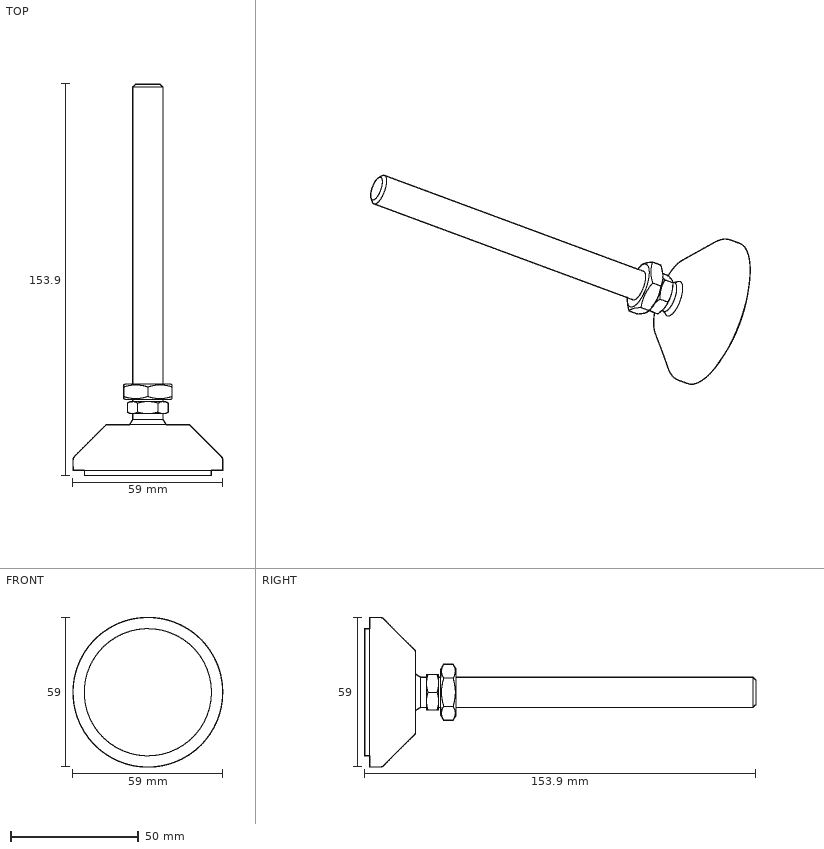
import cadquery as cq
import math

TOTAL_LENGTH = 153.9

foot_radius = 59.0 / 2
pad_radius = 50.0 / 2
pad_height = 2.0
rim_top_y = 7.0
foot_height = 20.0
rim_fillet = 2.0
top_fillet = 0.8
cone_top_radius = foot_radius - (foot_height - rim_top_y)

rod_radius = 6.0
rod_end_chamfer = 1.2
collar_radius = 7.2
collar_height = 2.0
wrench_hex_flats = 14.0
wrench_hex_start = 24.3
wrench_hex_height = 4.8
wrench_hex_face_radius = wrench_hex_flats / 2

nut_flats = 19.1
nut_start = 29.9
nut_height = 6.2
nut_face_radius = 9.0

HEX_CHAMFER_ANGLE = 30.0


def revolve_about_y(profile):
    """Revolve a closed (radius, y) outline a full turn about the Y axis."""
    return profile.close().revolve(360, (0, 0, 0), (0, 1, 0))


def cylinder_along_y(radius, start_y, height):
    return cq.Workplane("XZ", origin=(0, start_y, 0)).circle(radius).extrude(-height)


def chamfered_hexagon(across_flats, face_radius, start_y, height, turn):
    """Hexagonal prism along Y, chamfered to a round face at both ends."""
    corner_radius = across_flats / 2 / math.cos(math.radians(30))
    drop = (corner_radius - face_radius) * math.tan(math.radians(HEX_CHAMFER_ANGLE))
    end_y = start_y + height
    prism = (
        cq.Workplane("XZ", origin=(0, start_y, 0))
        .polygon(6, 2 * corner_radius)
        .extrude(-height)
        .rotate((0, 0, 0), (0, 1, 0), turn)
    )
    envelope = revolve_about_y(
        cq.Workplane("XY")
        .moveTo(0, start_y)
        .lineTo(face_radius, start_y)
        .lineTo(corner_radius, start_y + drop)
        .lineTo(corner_radius, end_y - drop)
        .lineTo(face_radius, end_y)
        .lineTo(0, end_y)
    )
    return prism.intersect(envelope)


def make_foot():
    """Conical foot with a rounded rim and a raised round pad underneath."""
    cone = revolve_about_y(
        cq.Workplane("XY")
        .moveTo(0, pad_height)
        .lineTo(foot_radius, pad_height)
        .lineTo(foot_radius, rim_top_y)
        .lineTo(cone_top_radius, foot_height)
        .lineTo(0, foot_height)
    )
    rim_edge = cq.selectors.NearestToPointSelector((0, rim_top_y, 0))
    cone = cone.edges("%CIRCLE").edges(rim_edge).fillet(rim_fillet)
    cone = cone.faces(">Y").edges().fillet(top_fillet)
    return cone.union(cylinder_along_y(pad_radius, 0, pad_height))


def make_spindle():
    """Round rod standing on the foot, with a flared collar and a wrench hexagon."""
    rod = revolve_about_y(
        cq.Workplane("XY")
        .moveTo(0, foot_height)
        .lineTo(collar_radius, foot_height)
        .lineTo(rod_radius, foot_height + collar_height)
        .lineTo(rod_radius, TOTAL_LENGTH - rod_end_chamfer)
        .lineTo(rod_radius - rod_end_chamfer, TOTAL_LENGTH)
        .lineTo(0, TOTAL_LENGTH)
    )
    wrench_hex = chamfered_hexagon(
        wrench_hex_flats, wrench_hex_face_radius, wrench_hex_start, wrench_hex_height, turn=0
    )
    return rod.union(wrench_hex)


def make_lock_nut():
    """Hexagonal nut on the rod, two of its corners pointing along Z."""
    nut = chamfered_hexagon(nut_flats, nut_face_radius, nut_start, nut_height, turn=30)
    return nut.cut(cylinder_along_y(rod_radius, nut_start, nut_height))


foot = make_foot()
spindle = make_spindle()
lock_nut = make_lock_nut()

result = cq.Compound.makeCompound([foot.val(), spindle.val(), lock_nut.val()])